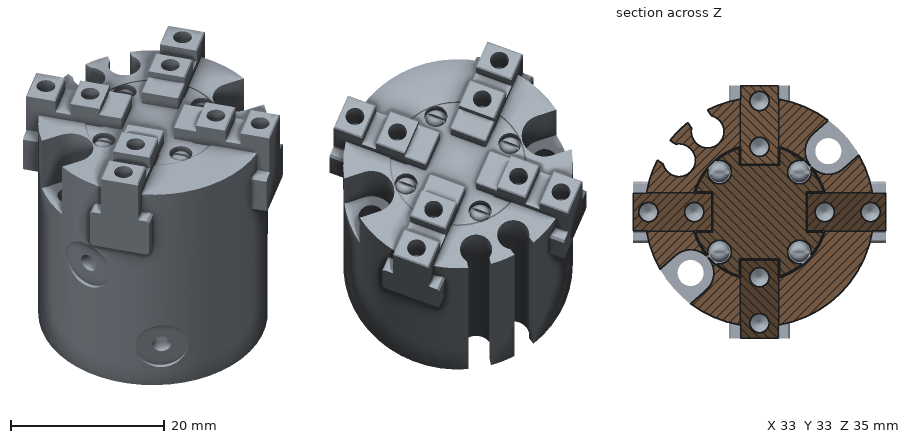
import cadquery as cq
import math

total_height = 35
housing_height = 32.0
housing_diameter = 30.0

jaw_angles = (0, 90, 180, 270)
jaw_reach = 33.0 / 2
jaw_tip = 3.5
jaw_root = 6.23
jaw_width = 5.0
foot_width = 8.0
foot_top = 29.0
foot_bottom = 23.5
foot_chamfer = 0.3
jaw_chamfer = 0.18
tip_chamfer = 0.15
foot_corner_chamfer = 0.15
block_length = 4.0
notch_width = 2.0
notch_depth = 2.0
step_drop = 1.0
jaw_hole_diameter = 2.45
jaw_hole_depth = 4.9
drill_point_angle = 118

outer_block_inner = jaw_reach - block_length
inner_block_outer = outer_block_inner - notch_width
inner_block_inner = inner_block_outer - block_length
jaw_hole_radii = (jaw_reach - block_length / 2, inner_block_outer - block_length / 2)

cover_diameter = 17.8
cover_thickness = 2.0
cover_chamfer = 0.2

cover_bottom = housing_height - cover_thickness

screw_offset = 5.2
counterbore_diameter = 3.0
head_diameter = 2.62
head_flat_diameter = 0.8
head_height = 1.15
head_recess = 0.18
shank_diameter = 1.4
shank_length = 4.9
driver_slot_width = 0.42
driver_slot_depth = 0.6

head_top = housing_height - head_recess
head_bottom = head_top - head_height
shank_bottom = head_bottom - shank_length
screw_positions = [(x, y) for x in (-screw_offset, screw_offset) for y in (-screw_offset, screw_offset)]

mount_angles = (41.5, 221.5)
mount_radius = 12.0
mount_hole_diameter = 3.4
mount_pocket_width = 6.0
mount_pocket_floor = 24.0

groove_angles = (122.8, 147.2)
groove_radius = 12.5
groove_diameter = 4.2
groove_mouth = 3.0

ports = ((250, 18.0), (290, 6.5))
port_face_radius = 14.5
port_face_diameter = 7
port_hole_diameter = 2.45
port_hole_depth = 5.0


def about_axis(shape, angle):
    """Turn a shape built along +X to its angle about the part axis."""
    return shape.rotate((0, 0, 0), (0, 0, 1), angle)


def jaw_guide():
    """T-shaped bar along +X from the jaw root to the jaw's outer end, below the housing top."""
    stem = jaw_width / 2
    foot = foot_width / 2
    half = [
        (stem, housing_height),
        (stem, foot_top + foot_corner_chamfer),
        (stem + foot_corner_chamfer, foot_top),
        (foot - foot_chamfer, foot_top),
        (foot, foot_top - foot_chamfer),
        (foot, foot_bottom + foot_chamfer),
        (foot - foot_chamfer, foot_bottom),
    ]
    mirrored = [(-y, z) for y, z in reversed(half)]
    return (
        cq.Workplane("YZ", origin=(jaw_root, 0, 0))
        .polyline(half + mirrored)
        .close()
        .extrude(jaw_reach - jaw_root)
    )


def jaw_block(inner, outer, top, chamfered_edges, chamfer):
    """Rectangular block of the jaw finger, standing on the housing top, with some edges chamfered."""
    block = (
        cq.Workplane("XY", origin=((inner + outer) / 2, 0, housing_height))
        .rect(outer - inner, jaw_width)
        .extrude(top - housing_height)
    )
    return block.edges(chamfered_edges).chamfer(chamfer)


def jaw_hole(radius):
    """Blind drilled hole with a conical end."""
    hole_radius = jaw_hole_diameter / 2
    point_length = hole_radius / math.tan(math.radians(drill_point_angle / 2))
    bottom = total_height - jaw_hole_depth
    half_section = [
        (0, total_height),
        (hole_radius, total_height),
        (hole_radius, bottom),
        (0, bottom - point_length),
    ]
    return (
        cq.Workplane("XZ", origin=(radius, 0, 0))
        .polyline(half_section)
        .close()
        .revolve(360, (0, 0, 0), (0, 1, 0))
    )


def make_jaw(angle):
    """Finger with two raised blocks, a notch between them and a lower tip, on a T-shaped guide."""
    outer_block = jaw_block(outer_block_inner, jaw_reach, total_height, ">Z", jaw_chamfer)
    inner_block = jaw_block(inner_block_inner, inner_block_outer, total_height, ">Z exc <X", jaw_chamfer)
    tip_block = jaw_block(
        jaw_tip, inner_block_inner, total_height - step_drop, "(>Z exc >X) or (|Z and <X)", tip_chamfer
    )
    bridge_top = total_height - notch_depth
    bridge = (
        cq.Workplane("XY", origin=((inner_block_outer + outer_block_inner) / 2, 0, housing_height))
        .rect(notch_width, jaw_width)
        .extrude(bridge_top - housing_height)
    )
    jaw = jaw_guide().union(outer_block).union(bridge)
    jaw = jaw.union(inner_block).union(tip_block)
    for radius in jaw_hole_radii:
        jaw = jaw.cut(jaw_hole(radius))
    return about_axis(jaw, angle)


def screw_cylinders(diameter, bottom, top):
    """Upright cylinders at the four screw positions."""
    return (
        cq.Workplane("XY", origin=(0, 0, bottom))
        .pushPoints(screw_positions)
        .circle(diameter / 2)
        .extrude(top - bottom)
    )


def screw_recesses():
    """Counterbores for the heads and holes for the shanks."""
    heads = screw_cylinders(counterbore_diameter, head_bottom, housing_height)
    return heads.union(screw_cylinders(shank_diameter, shank_bottom, head_bottom))


def cover_disc():
    """Plain disc that fills the cover seat of the housing."""
    return (
        cq.Workplane("XY", origin=(0, 0, cover_bottom))
        .circle(cover_diameter / 2)
        .extrude(cover_thickness)
    )


def make_cover():
    cover = cover_disc()
    for angle in jaw_angles:
        cover = cover.cut(about_axis(jaw_guide(), angle))
    cover = cover.faces(">Z").chamfer(cover_chamfer)
    return cover.cut(screw_recesses())


def make_screw(position):
    """Domed screw with a flat crown and a driver slot along X."""
    head_radius = head_diameter / 2
    flat_radius = head_flat_diameter / 2
    shank_radius = shank_diameter / 2
    rounding = head_radius - flat_radius
    on_arc = rounding * math.sqrt(0.5)
    profile = (
        cq.Workplane("XZ")
        .moveTo(0, shank_bottom)
        .lineTo(shank_radius, shank_bottom)
        .lineTo(shank_radius, head_bottom)
        .lineTo(head_radius, head_bottom)
        .lineTo(head_radius, head_top - rounding)
        .threePointArc((flat_radius + on_arc, head_top - rounding + on_arc), (flat_radius, head_top))
        .lineTo(0, head_top)
        .close()
    )
    screw = profile.revolve(360, (0, 0, 0), (0, 1, 0))
    driver_slot = (
        cq.Workplane("XY", origin=(0, 0, head_top - driver_slot_depth))
        .rect(head_diameter, driver_slot_width)
        .extrude(driver_slot_depth)
    )
    return screw.cut(driver_slot).translate((position[0], position[1], 0))


def keyhole(radius, diameter, mouth_width, bottom):
    """Upright round hole on +X, open to the rim through a parallel mouth, from bottom to housing top."""
    floor = cq.Workplane("XY", origin=(radius, 0, bottom))
    height = housing_height - bottom
    mouth_length = housing_diameter / 2
    mouth = floor.center(mouth_length / 2, 0).rect(mouth_length, mouth_width).extrude(height)
    return mouth.union(floor.circle(diameter / 2).extrude(height))


def mount_cut(angle):
    """Through hole and round-ended pocket that runs out through the rim."""
    hole = (
        cq.Workplane("XY", origin=(mount_radius, 0, 0))
        .circle(mount_hole_diameter / 2)
        .extrude(housing_height)
    )
    pocket = keyhole(mount_radius, mount_pocket_width, mount_pocket_width, mount_pocket_floor)
    return about_axis(hole.union(pocket), angle)


def groove_cut(angle):
    """Full-height round groove with a narrower mouth at the rim."""
    return about_axis(keyhole(groove_radius, groove_diameter, groove_mouth, 0), angle)


def port_cut(angle, height):
    """Flat round spot face with a blind hole in its middle."""
    spot_face = (
        cq.Workplane("YZ", origin=(port_face_radius, 0, height))
        .circle(port_face_diameter / 2)
        .extrude(housing_diameter / 2)
    )
    hole = (
        cq.Workplane("YZ", origin=(port_face_radius - port_hole_depth, 0, height))
        .circle(port_hole_diameter / 2)
        .extrude(port_hole_depth)
    )
    return about_axis(spot_face.union(hole), angle)


def make_housing():
    housing = cq.Workplane("XY").circle(housing_diameter / 2).extrude(housing_height)
    housing = housing.cut(cover_disc()).cut(screw_recesses())
    for angle in jaw_angles:
        housing = housing.cut(about_axis(jaw_guide(), angle))
    for angle in mount_angles:
        housing = housing.cut(mount_cut(angle))
    for angle in groove_angles:
        housing = housing.cut(groove_cut(angle))
    for angle, height in ports:
        housing = housing.cut(port_cut(angle, height))
    return housing


housing = make_housing()
cover = make_cover()
jaws = [make_jaw(angle) for angle in jaw_angles]
screws = [make_screw(position) for position in screw_positions]

result = cq.Compound.makeCompound(
    [housing.val(), cover.val(), *[jaw.val() for jaw in jaws], *[screw.val() for screw in screws]]
)